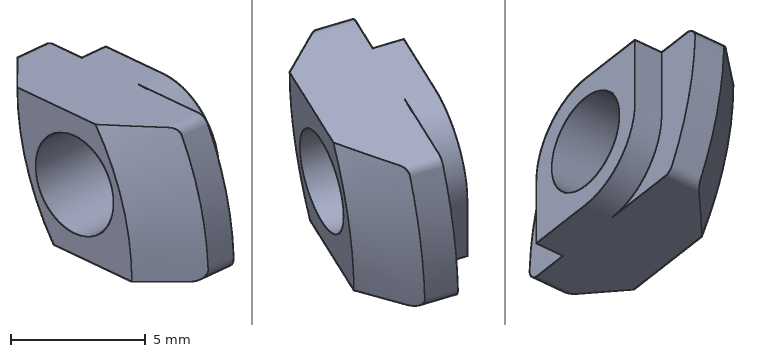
import cadquery as cq
import math

length = 10.03
height = 5.9
flange_depth = 3.35
boss_depth = 1.25
boss_width = 5.98
hole_diameter = 4.1
corner_radius = 0.5

end_radius = 12.04
cone_depth = 2.01
end_centre_x = length / 2 - corner_radius - math.sqrt((end_radius - corner_radius) ** 2 - corner_radius**2)
end_centre_z = -height / 2

front_y = -(flange_depth + boss_depth) / 2
flange_back_y = front_y + flange_depth
back_y = flange_back_y + boss_depth


def plane_at(y):
    """XZ sketch plane at depth y, extruding towards +Y with its local Y axis along -Z."""
    return cq.Plane(origin=(0, y, 0), xDir=(1, 0, 0), normal=(0, 1, 0))


def end_envelope():
    """Solid of revolution bounding the +X end: a cylinder with a conical front."""
    return (
        cq.Workplane("XY")
        .moveTo(0, front_y)
        .lineTo(end_radius - cone_depth, front_y)
        .lineTo(end_radius, front_y + cone_depth)
        .lineTo(end_radius, flange_back_y)
        .lineTo(0, flange_back_y)
        .close()
        .revolve(360, (0, 0, 0), (0, 1, 0))
        .translate((end_centre_x, 0, end_centre_z))
    )


def end_cylinder():
    """Full-depth cylinder bounding the +X end."""
    return (
        cq.Workplane(plane_at(front_y))
        .center(end_centre_x, -end_centre_z)
        .circle(end_radius)
        .extrude(flange_depth)
    )


def half_turn(body):
    """Body turned 180 degrees about the hole axis."""
    return body.rotate((0, 0, 0), (0, 1, 0), 180)


def make_flange():
    """Rounded two-arc plate with both ends coned at the front."""
    plate = cq.Workplane(plane_at(front_y)).rect(2 * length, height).extrude(flange_depth)
    plate = plate.intersect(end_cylinder()).intersect(half_turn(end_cylinder()))
    plate = plate.edges("|Y").fillet(corner_radius)
    return plate.intersect(end_envelope()).intersect(half_turn(end_envelope()))


def make_boss():
    """Rear boss: a block with its +X +Z and -X -Z corners fully rounded."""
    block = cq.Workplane(plane_at(flange_back_y)).rect(boss_width, height).extrude(boss_depth)
    for corner in (">X and >Z", "<X and <Z"):
        block = block.edges("|Y").edges(corner).fillet(boss_width / 2)
    return block


hole = cq.Workplane(plane_at(front_y)).circle(hole_diameter / 2).extrude(back_y - front_y)
result = make_flange().union(make_boss()).cut(hole)